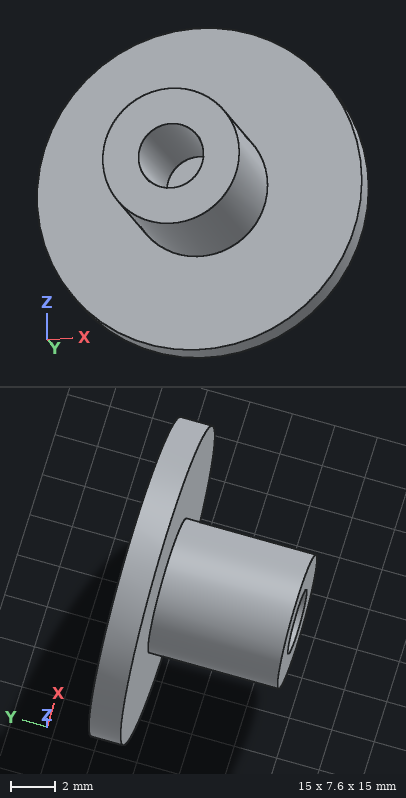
import cadquery as cq

flange_diameter = 15.0
flange_thickness = 1.5
boss_diameter = 6.3
overall_length = 7.6
bore_diameter = 3.0

boss_length = overall_length - flange_thickness
bore_depth = boss_length


def cylinder_toward_front(diameter, length, start_y):
    """Cylinder on the Y axis, running from start_y toward -Y."""
    plane = cq.Workplane("XZ", origin=(0, start_y, 0))
    return plane.circle(diameter / 2).extrude(length)


flange = cylinder_toward_front(flange_diameter, flange_thickness, flange_thickness)
boss = cylinder_toward_front(boss_diameter, boss_length, 0)
bore = cylinder_toward_front(bore_diameter, bore_depth, bore_depth - boss_length)

result = flange.union(boss).cut(bore)